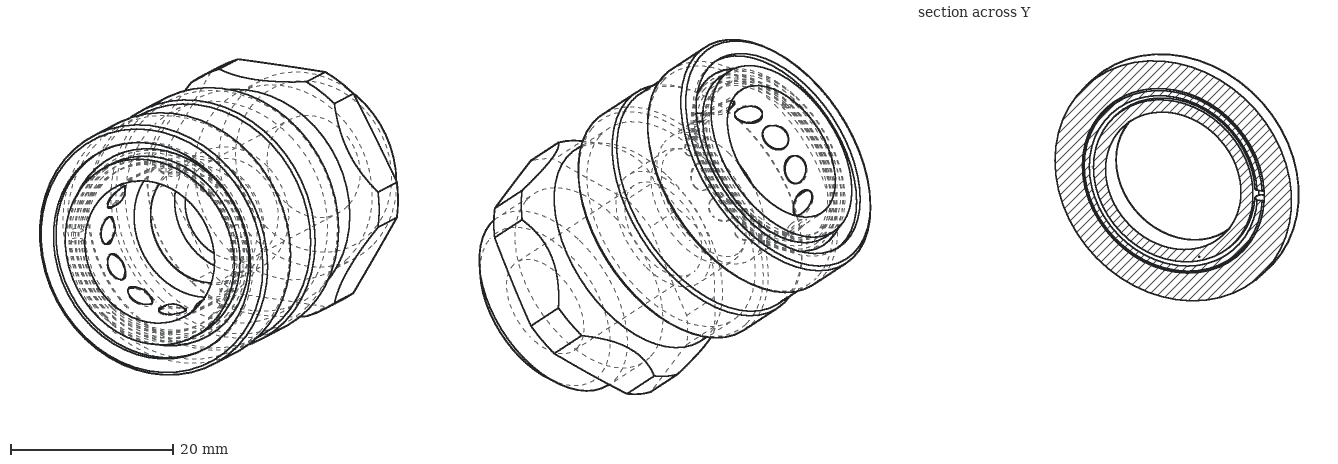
import cadquery as cq
import math

length = 43.0

thread_dia = 24.8
thread_chamfer = 1.5

hex_across_flats = 30.1
hex_corner_dia = 32.45
hex_rear_y = 35.05
hex_rear_slope = math.radians(5)
hex_cone_start_y = 29.7
hex_cone_angle = math.radians(30)
neck_dia = 28.2

sleeve_dia = 31.8
sleeve_waist_dia = 31.0
sleeve_front_y = 0.6
sleeve_rear_y = 20.12
waist_front_y = 7.5
waist_rear_y = 13.1
sleeve_chamfer = 0.45
sleeve_mouth_dia = 27.5
sleeve_mouth_depth = 0.65
sleeve_bore_dia = 24.35

tube_dia = 23.6
snap_groove_dia = 21.5
snap_wire_dia = 1.8
snap_ring_y = 2.4
snap_gap = 1.25
groove_squeeze = 0.1

socket_dia = 18.1
seal_dia = 20.3
seal_wire_dia = 2.6
seal_y = 14.2
seat_dia = 15.9
seat_y = 21.5
passage_dia = 13.0

ball_count = 12
ball_dia = 4.2
ball_y = 5.98
ball_protrusion = 0.77
ball_center_r = socket_dia / 2 - ball_protrusion + ball_dia / 2
window_dia = 3.45


def revolve_profile(points):
    """Turn a closed (radius, Y) outline around the Y axis."""
    return cq.Workplane("XY").polyline(points).close().revolve(360, (0, 0), (0, 1))


def cylinder(diameter, y_start, y_end):
    """Round bar along Y."""
    radius = diameter / 2
    return revolve_profile([(0, y_start), (radius, y_start), (radius, y_end), (0, y_end)])


def wire_ring(outer_dia, wire_dia, y):
    """Ring of round wire around the Y axis."""
    wire_radius = wire_dia / 2
    center_x = outer_dia / 2 - wire_radius
    section = cq.Workplane("XY").center(center_x, y).circle(wire_radius)
    return section.revolve(360, (-center_x, 0), (-center_x, 1))


def make_hex_and_thread():
    thread_r = thread_dia / 2
    corner_r = hex_corner_dia / 2
    neck_r = neck_dia / 2
    hex_corner_y = hex_rear_y - (corner_r - thread_r) * math.tan(hex_rear_slope)
    cone_end_y = hex_cone_start_y - (corner_r - neck_r) / math.tan(hex_cone_angle)
    turned = revolve_profile([
        (0, sleeve_rear_y),
        (neck_r, sleeve_rear_y),
        (neck_r, cone_end_y),
        (corner_r, hex_cone_start_y),
        (corner_r, hex_corner_y),
        (thread_r, hex_rear_y),
        (thread_r, length - thread_chamfer),
        (thread_r - thread_chamfer, length),
        (0, length),
    ])
    hexagon = (
        cq.Workplane("XZ", origin=(0, sleeve_rear_y, 0))
        .polygon(6, hex_across_flats / math.cos(math.pi / 6))
        .extrude(sleeve_rear_y - length)
    )
    return turned.intersect(hexagon)


def make_sleeve():
    outer_r = sleeve_dia / 2
    waist_r = sleeve_waist_dia / 2
    step = outer_r - waist_r
    edge_r = outer_r - sleeve_chamfer
    body = revolve_profile([
        (0, sleeve_front_y),
        (edge_r, sleeve_front_y),
        (outer_r, sleeve_front_y + sleeve_chamfer),
        (outer_r, waist_front_y - step),
        (waist_r, waist_front_y),
        (waist_r, waist_rear_y),
        (outer_r, waist_rear_y + step),
        (outer_r, sleeve_rear_y - sleeve_chamfer),
        (edge_r, sleeve_rear_y),
        (0, sleeve_rear_y),
    ])
    mouth_r = sleeve_mouth_dia / 2
    bore_r = sleeve_bore_dia / 2
    cone_y = sleeve_front_y + sleeve_mouth_depth
    clearance_end_y = snap_ring_y + snap_wire_dia / 2
    opening = revolve_profile([
        (0, sleeve_front_y),
        (mouth_r, sleeve_front_y),
        (mouth_r, cone_y),
        (bore_r, cone_y + mouth_r - bore_r),
        (bore_r, clearance_end_y),
        (0, clearance_end_y),
    ])
    return body.cut(opening)


def make_tube():
    tube = cylinder(tube_dia, 0, waist_rear_y)
    half_groove = (snap_wire_dia - groove_squeeze) / 2
    groove = cylinder(tube_dia, snap_ring_y - half_groove, snap_ring_y + half_groove).cut(
        cylinder(snap_groove_dia, 0, waist_rear_y)
    )
    return tube.cut(groove)


def make_snap_ring():
    """Round wire ring, pressed into its groove and open on the -X side."""
    outer_dia = snap_groove_dia - groove_squeeze + 2 * snap_wire_dia
    gap = cq.Workplane("XY").box(outer_dia, 2 * snap_wire_dia, snap_gap).translate(
        (-outer_dia / 2, snap_ring_y, 0)
    )
    return wire_ring(outer_dia, snap_wire_dia, snap_ring_y).cut(gap)


def make_socket_cavity():
    socket_r = socket_dia / 2
    seat_r = seat_dia / 2
    passage_r = passage_dia / 2
    return revolve_profile([
        (0, 0),
        (socket_r, 0),
        (socket_r, seal_y),
        (seat_r, seal_y),
        (seat_r, seat_y),
        (passage_r, seat_y),
        (passage_r, length),
        (0, length),
    ])


def ring_of_copies(shape):
    """Copies of a shape spaced evenly around the Y axis, one per ball."""
    copies = cq.Workplane("XY")
    for i in range(ball_count):
        copies = copies.union(shape.rotate((0, 0, 0), (0, 1, 0), 360 * i / ball_count))
    return copies


def make_ball_windows():
    """Radial holes in the bore wall, each closed further out by its ball."""
    window = cq.Workplane("YZ").center(ball_y, 0).circle(window_dia / 2).extrude(ball_center_r)
    return ring_of_copies(window)


def make_balls():
    ball = cq.Workplane("XY").sphere(ball_dia / 2).translate((ball_center_r, ball_y, 0))
    return ring_of_copies(ball)


result = (
    make_hex_and_thread()
    .union(make_sleeve())
    .union(make_tube())
    .union(make_snap_ring())
    .cut(make_socket_cavity())
    .cut(make_ball_windows())
    .union(wire_ring(seal_dia, seal_wire_dia, seal_y))
    .union(make_balls())
)